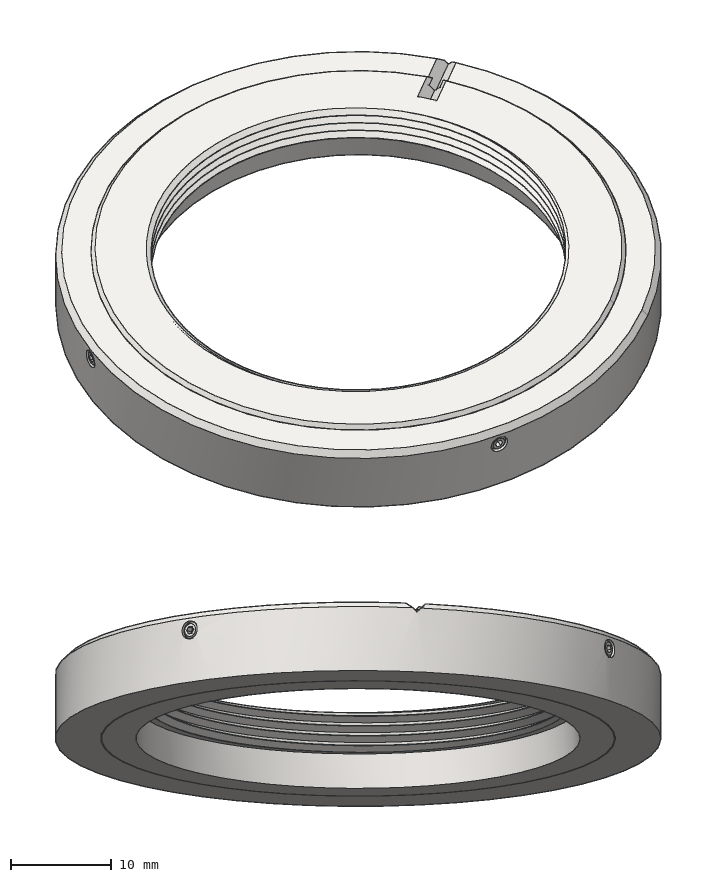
import cadquery as cq
import math

outer_radius = 30.0
outer_ring_height = 7.1
total_height = 7.55

housing_bore_radius = 51.0 / 2
insert_radius = 50.8 / 2
flange_radius = 26.5
housing_chamfer = 0.6
flange_chamfer = 0.4
flange_thickness = total_height - outer_ring_height

thread_crest_radius = 20.55
thread_pitch = 1.0
crest_flat = 0.06
flank_angle = 30.0
groove_width = thread_pitch - crest_flat
groove_depth = groove_width / 2 / math.tan(math.radians(flank_angle))
cutter_overlap = 0.04
bore_overshoot = 1.0
relief_radius = 44.0 / 2
relief_height = 3.5

index_depth = 1.0
index_half_width = index_depth
index_inner_end = 23.0
index_end_margin = 1.0

screw_count = 4
screw_first_angle = 45.0
screw_radius = 1.7 / 2
screw_hole_radius = 1.8 / 2
screw_height = 5.3
screw_recess = 0.1
screw_chamfer = 0.2
socket_across_flats = 0.7
socket_depth = 0.8
screw_outer_end = outer_radius - screw_recess
screw_length = screw_outer_end - insert_radius


def index_cutter(top_height):
    """V-shaped bar that cuts the index groove into a top face at the given height."""
    length = outer_radius + index_end_margin - index_inner_end
    return (
        cq.Workplane("XZ", origin=(0, index_inner_end, top_height))
        .moveTo(-index_half_width, 0)
        .lineTo(0, -index_depth)
        .lineTo(index_half_width, 0)
        .close()
        .extrude(-length)
    )


def thread_cutter():
    """Pointed bar swept along a helix, with its groove at -Y in the top plane."""
    turns = math.ceil((total_height - relief_height) / thread_pitch) + 2
    start_height = total_height + (1.25 - turns) * thread_pitch
    helix = cq.Wire.makeHelix(thread_pitch, turns * thread_pitch, thread_crest_radius)
    base_half_width = groove_width / 2 + cutter_overlap * math.tan(math.radians(flank_angle))
    cutter = (
        cq.Workplane("XZ")
        .moveTo(thread_crest_radius - cutter_overlap, -base_half_width)
        .lineTo(thread_crest_radius + groove_depth, 0)
        .lineTo(thread_crest_radius - cutter_overlap, base_half_width)
        .close()
        .sweep(cq.Workplane(helix), isFrenet=True)
    )
    return cutter.translate((0, 0, start_height))


def place_on_rim(body, index):
    """Turn a body that lies along +X at the screw height to its place around the rim."""
    angle = screw_first_angle + index * 360 / screw_count
    return body.rotate((0, 0, 0), (0, 0, 1), angle)


def make_housing():
    """Outer ring with the radial screw holes and the outer stretch of the index groove."""
    ring = (
        cq.Workplane("XY")
        .circle(outer_radius)
        .extrude(outer_ring_height)
        .faces(">Z")
        .chamfer(housing_chamfer)
        .cut(cq.Workplane("XY").circle(housing_bore_radius).extrude(outer_ring_height))
    )
    hole = (
        cq.Workplane("YZ", origin=(insert_radius, 0, screw_height))
        .circle(screw_hole_radius)
        .extrude(outer_radius - insert_radius)
    )
    for index in range(screw_count):
        ring = ring.cut(place_on_rim(hole, index))
    return ring.cut(index_cutter(outer_ring_height))


def make_threaded_disc():
    """Plain disc over the threaded length, with the helical groove cut before the bore."""
    threaded_length = total_height - relief_height
    bore = (
        cq.Workplane("XY", origin=(0, 0, relief_height - bore_overshoot))
        .circle(thread_crest_radius)
        .extrude(threaded_length + 2 * bore_overshoot)
    )
    return (
        cq.Workplane("XY", origin=(0, 0, relief_height))
        .circle(insert_radius)
        .extrude(threaded_length)
        .cut(thread_cutter())
        .cut(bore)
    )


def make_insert():
    """Flanged inner ring with a threaded bore, a relief below it and the inner index groove."""
    flange = (
        cq.Workplane("XY", origin=(0, 0, outer_ring_height))
        .circle(flange_radius)
        .extrude(flange_thickness)
        .faces(">Z")
        .chamfer(flange_chamfer)
        .cut(
            cq.Workplane("XY", origin=(0, 0, outer_ring_height))
            .circle(relief_radius)
            .extrude(flange_thickness)
        )
    )
    skirt = cq.Workplane("XY").circle(insert_radius).circle(relief_radius).extrude(relief_height)
    ring = make_threaded_disc().union(flange).union(skirt)
    return ring.cut(index_cutter(total_height))


def make_set_screw():
    """Set screw along +X with a hexagon socket in its outer end."""
    socket_diameter = socket_across_flats / math.cos(math.radians(30))
    return (
        cq.Workplane("YZ", origin=(insert_radius, 0, screw_height))
        .circle(screw_radius)
        .extrude(screw_length)
        .faces(">X")
        .chamfer(screw_chamfer)
        .faces(">X")
        .workplane()
        .polygon(6, socket_diameter)
        .cutBlind(-socket_depth)
    )


housing = make_housing()
insert = make_insert()
set_screws = [place_on_rim(make_set_screw(), index) for index in range(screw_count)]

result = cq.Compound.makeCompound(
    [housing.val(), insert.val(), *[screw.val() for screw in set_screws]]
)